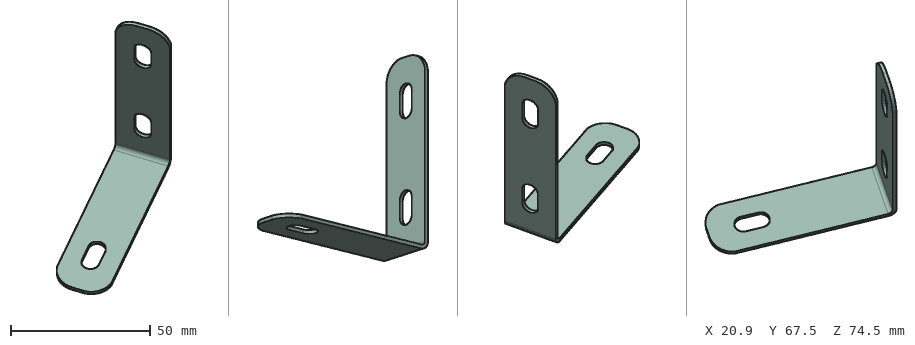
import cadquery as cq
import math

WIDTH = 20.94
FOOT_LENGTH = 67.48
UPRIGHT_HEIGHT = 74.48
THICKNESS = 1.5
INNER_BEND_RADIUS = 1.7
OUTER_BEND_RADIUS = INNER_BEND_RADIUS + THICKNESS

TIP_FLAT = 4.3
CORNER_DEPTH = 7.0

SLOT_LENGTH = 13.0
SLOT_WIDTH = 6.5
UPRIGHT_SLOT_HEIGHTS = (18.0, 58.0)
FOOT_SLOT_DISTANCE = 51.0


def leg_blank(length):
    """Flat strip along +Y from the origin, rounded at its far end."""
    half_width = WIDTH / 2
    half_tip = TIP_FLAT / 2
    corner_run = half_width - half_tip
    corner_radius = (corner_run**2 + CORNER_DEPTH**2) / (2 * CORNER_DEPTH)
    side_end = length - CORNER_DEPTH

    half_sweep = math.asin(corner_run / corner_radius) / 2
    mid_x = half_tip + corner_radius * math.sin(half_sweep)
    mid_y = length - corner_radius * (1 - math.cos(half_sweep))

    return (
        cq.Workplane("XY")
        .moveTo(-half_width, 0)
        .lineTo(half_width, 0)
        .lineTo(half_width, side_end)
        .threePointArc((mid_x, mid_y), (half_tip, length))
        .lineTo(-half_tip, length)
        .threePointArc((-mid_x, mid_y), (-half_width, side_end))
        .close()
        .extrude(THICKNESS)
    )


def slotted_leg(length, slot_distances):
    """Rounded strip along +Y with lengthwise slots on its centreline."""
    slots = (
        cq.Workplane("XY")
        .pushPoints([(0, distance) for distance in slot_distances])
        .slot2D(SLOT_LENGTH, SLOT_WIDTH, 90)
        .extrude(THICKNESS)
    )
    return leg_blank(length).cut(slots)


def bracket():
    """L-shaped strap: foot along -Y, upright along +Z, outer bend corner at Y = 0, Z = 0."""
    foot = slotted_leg(FOOT_LENGTH, [FOOT_SLOT_DISTANCE]).rotate((0, 0, 0), (0, 0, 1), 180)
    upright = slotted_leg(UPRIGHT_HEIGHT, UPRIGHT_SLOT_HEIGHTS).rotate((0, 0, 0), (1, 0, 0), 90)
    body = foot.union(upright)

    inner_edge = cq.selectors.NearestToPointSelector((0, -THICKNESS, THICKNESS))
    outer_edge = cq.selectors.NearestToPointSelector((0, 0, 0))
    body = body.edges("|X").edges(inner_edge).fillet(INNER_BEND_RADIUS)
    return body.edges("|X").edges(outer_edge).fillet(OUTER_BEND_RADIUS)


result = bracket()